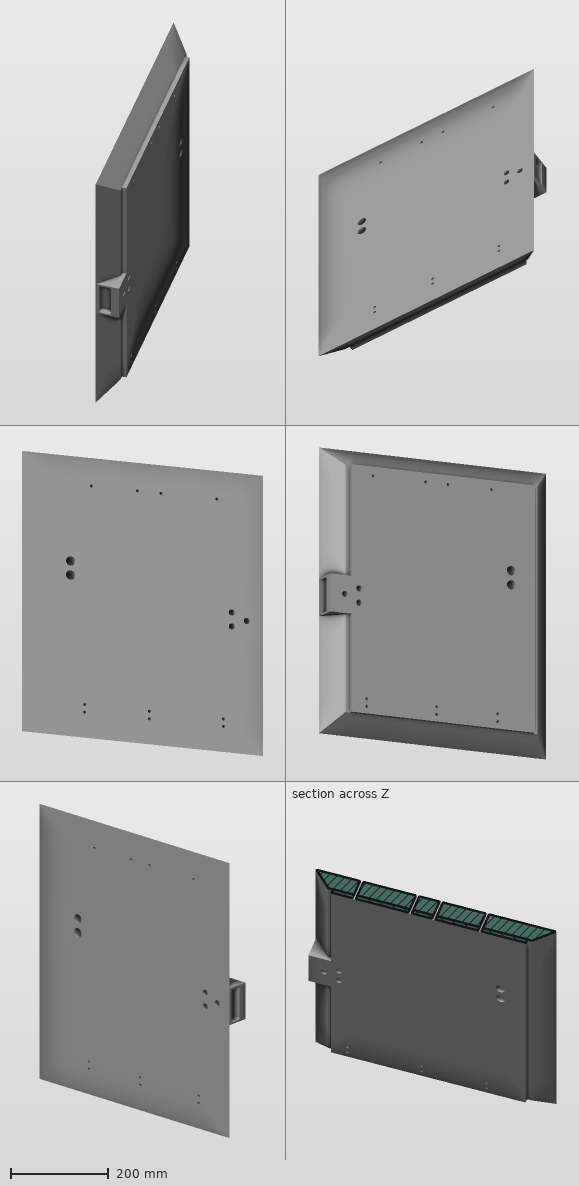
import cadquery as cq

door_height = 600.0
door_width = 520.0
total_depth = 50.0
bevel_depth = 40.0
slab_width = 420.0
back_height = door_height - 2 * bevel_depth

window_width = 250.0
window_height = 300.0
window_y = -35.0
window_z = -71.0

lip = 1.0
box_height = 80.0
box_z = -14.5
box_outer_y = -door_width / 2 + lip
box_inner_y = -slab_width / 2

pocket_start_x = 6.5
pocket_width = 26.0
pocket_height = 72.0
pocket_depth = 14.0
pocket_corner_radius = 5.0

small_diameter = 6.5
lock_diameter = 13.0
large_diameter = 20.0

top_row_z = 240.0
top_row_y = [110.5, 11.0, -40.0, -161.0]
bottom_rows_z = [-229.0, -245.5]
bottom_rows_y = [125.0, -15.0, -175.0]
large_holes_y = 155.5
large_holes_z = [75.0, 45.0]
lock_pair_y = -193.0
lock_pair_spacing = 30.0
lock_single_y = -225.5

small_centres = [(y, top_row_z) for y in top_row_y]
small_centres += [(y, z) for y in bottom_rows_y for z in bottom_rows_z]
large_centres = [(large_holes_y, z) for z in large_holes_z]
lock_centres = [(lock_pair_y, box_z + side * lock_pair_spacing / 2) for side in (1, -1)]
lock_centres.append((lock_single_y, box_z))


def block(x_range, y_range, z_range):
    """Rectangular block between the given limits on each axis."""
    limits = (x_range, y_range, z_range)
    sizes = [high - low for low, high in limits]
    corner = tuple(low for low, high in limits)
    return cq.Workplane("XY").box(*sizes, centered=False).translate(corner)


def through_holes(diameter, centres):
    """Cylinders along X through the full depth."""
    return cq.Workplane("YZ").pushPoints(centres).circle(diameter / 2).extrude(total_depth)


def drilled(body):
    """Body with every through hole that crosses it."""
    body = body.cut(through_holes(small_diameter, small_centres))
    body = body.cut(through_holes(large_diameter, large_centres))
    return body.cut(through_holes(lock_diameter, lock_centres))


def make_window():
    return (
        cq.Workplane("YZ")
        .center(window_y, window_z)
        .rect(window_width, window_height)
        .extrude(bevel_depth)
    )


def make_lock_box():
    return block(
        (lip, total_depth),
        (box_outer_y, box_inner_y),
        (box_z - box_height / 2, box_z + box_height / 2),
    )


def make_pocket():
    pocket = block(
        (pocket_start_x, pocket_start_x + pocket_width),
        (box_outer_y, box_outer_y + pocket_depth),
        (box_z - pocket_height / 2, box_z + pocket_height / 2),
    )
    return pocket.edges("|Y").fillet(pocket_corner_radius)


def make_leaf():
    """Bevelled leaf with its lock box, pocket, window opening and holes."""
    leaf = (
        cq.Workplane("YZ")
        .rect(door_width, door_height)
        .extrude(bevel_depth, taper=45)
    )
    leaf = leaf.union(make_lock_box()).cut(make_pocket()).cut(make_window())
    return drilled(leaf)


def make_slab():
    slab = (
        cq.Workplane("YZ", origin=(bevel_depth, 0, 0))
        .rect(slab_width, back_height)
        .extrude(total_depth - bevel_depth)
    )
    return drilled(slab)


leaf = make_leaf()
slab = make_slab()
window = make_window()

result = cq.Compound.makeCompound([leaf.val(), slab.val(), window.val()])